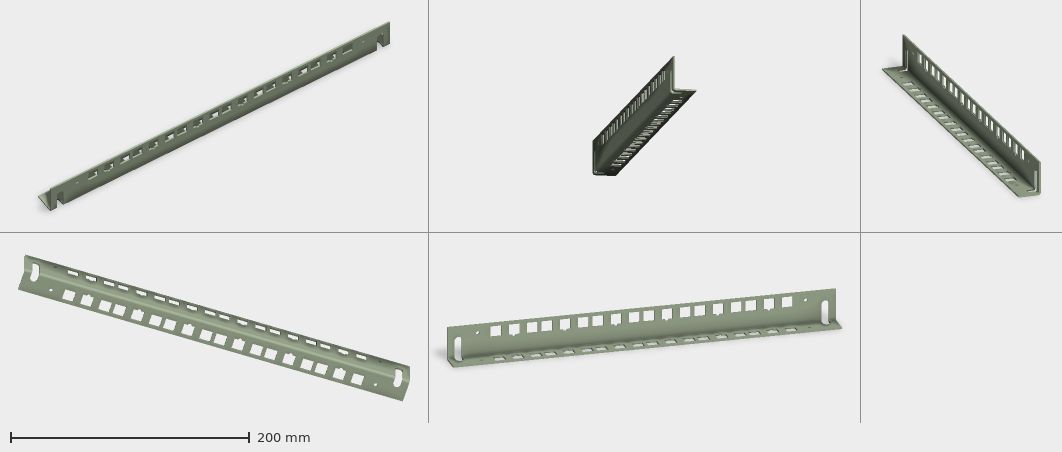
import cadquery as cq

LENGTH = 338.5
BASE_WIDTH = 19.5
UPRIGHT_HEIGHT = 29.5
THICKNESS = 1.5
BEND_INNER_RADIUS = 0.7
BEND_OUTER_RADIUS = BEND_INNER_RADIUS + THICKNESS

RACK_UNITS = 6
WINDOW_ROW_SPAN = 254.0
WINDOW_SPACING = 16.0
UNIT_PITCH = (WINDOW_ROW_SPAN - 2 * WINDOW_SPACING) / (RACK_UNITS - 1)
WINDOW_SIZE = 9.5

WINDOW_EDGE_MARGIN = 2.88
ROW_SETBACK = WINDOW_EDGE_MARGIN + WINDOW_SIZE / 2

RELIEF_DIAMETER = 3.0

PIN_HOLE_DIAMETER = 3.0
PIN_HOLE_OFFSET = 143.0

SLOT_WIDTH = 6.5
SLOT_END_DISTANCE = 9.5
SLOT_UPRIGHT_REACH = 20.0
SLOT_BASE_REACH = 9.0

CUT_DEPTH = 2 * THICKNESS


def make_angle():
    """L-shaped section with its bend rounded inside and out, centred along Y."""
    section = (
        cq.Workplane("XZ")
        .moveTo(-BASE_WIDTH, 0)
        .lineTo(0, 0)
        .lineTo(0, UPRIGHT_HEIGHT)
        .lineTo(-THICKNESS, UPRIGHT_HEIGHT)
        .lineTo(-THICKNESS, THICKNESS)
        .lineTo(-BASE_WIDTH, THICKNESS)
        .close()
    )
    angle = section.extrude(LENGTH / 2, both=True)
    inner_corner = cq.selectors.NearestToPointSelector((-THICKNESS, 0, THICKNESS))
    outer_corner = cq.selectors.NearestToPointSelector((0, 0, 0))
    angle = angle.edges(inner_corner).fillet(BEND_INNER_RADIUS)
    return angle.edges(outer_corner).fillet(BEND_OUTER_RADIUS)


def make_flange_cutter(flange_width, slot_reach):
    """All openings of one flange, cut through along Z.

    The outer corner of the bend is the Y axis and the flange runs towards -X.
    """
    row_x = ROW_SETBACK - flange_width
    window_ys = []
    relief_points = []
    for unit in range(RACK_UNITS):
        unit_centre = (unit - (RACK_UNITS - 1) / 2) * UNIT_PITCH
        window_ys += [unit_centre + step * WINDOW_SPACING for step in (-1, 0, 1)]
        relief_points.append((row_x + WINDOW_SIZE / 2, unit_centre))

    base = cq.Workplane("XY").workplane(offset=-THICKNESS / 2)
    window_points = [(row_x, y) for y in window_ys]
    windows = base.pushPoints(window_points).rect(WINDOW_SIZE, WINDOW_SIZE).extrude(CUT_DEPTH)
    reliefs = base.pushPoints(relief_points).circle(RELIEF_DIAMETER / 2).extrude(CUT_DEPTH)
    pin_points = [(row_x, side * PIN_HOLE_OFFSET) for side in (-1, 1)]
    pin_holes = base.pushPoints(pin_points).circle(PIN_HOLE_DIAMETER / 2).extrude(CUT_DEPTH)

    cutter = windows.union(reliefs).union(pin_holes)
    slot_y = LENGTH / 2 - SLOT_END_DISTANCE
    for side in (-1, 1):
        cutter = cutter.union(make_slot(base, side * slot_y, slot_reach))
    return cutter


def make_slot(base, centre_y, reach):
    """Slot that starts at the bend and ends in a half circle."""
    radius = SLOT_WIDTH / 2
    arc_start = radius - reach
    return (
        base.moveTo(0, centre_y - radius)
        .lineTo(arc_start, centre_y - radius)
        .threePointArc((-reach, centre_y), (arc_start, centre_y + radius))
        .lineTo(0, centre_y + radius)
        .close()
        .extrude(CUT_DEPTH)
    )


base_cutter = make_flange_cutter(BASE_WIDTH, SLOT_BASE_REACH)

upright_cutter = make_flange_cutter(UPRIGHT_HEIGHT, SLOT_UPRIGHT_REACH)
upright_cutter = upright_cutter.rotate((0, 0, 0), (0, 1, 0), 90).translate((-THICKNESS, 0, 0))

result = make_angle().cut(base_cutter).cut(upright_cutter)